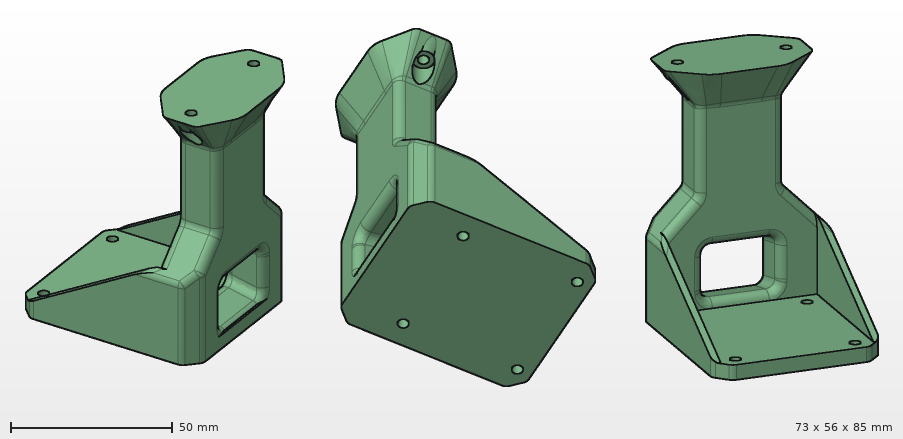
import cadquery as cq
import math

TOTAL_LENGTH = 73.0
TOTAL_WIDTH = 56.0
TOTAL_HEIGHT = 85.0

EDGE_RADIUS = 3.0
HOLE_DIAMETER = 3.6
SEAM_REACH = 0.1

PLATE_THICKNESS = 5.0
WALL_THICKNESS = 2.5
CORNER_CHAMFER = 5.0
WALL_FOOT_X = 3.5
WALL_HEAD_Z = 31.45
BASE_HOLE_INSET = 5.0
BASE_HOLE_SPACING = 40.0

COLUMN_DEPTH = 15.0
COLUMN_WIDTH = 29.0
SHOULDER_BOTTOM_Z = 28.7

WINDOW_WIDTH = 25.0
WINDOW_BOTTOM_Z = 8.5
WINDOW_TOP_Z = 26.2
WINDOW_CORNER_RADIUS = 3.0
WINDOW_SLOPE = 11.5

HEAD_DEPTH = 30.0
HEAD_WIDTH = 50.0
HEAD_HEIGHT = 13.0
HEAD_END_HALF = 6.0
HEAD_SIDE_HALF = 12.7
HEAD_SIDE_RADIUS = 10.0
COLUMN_SPLIT_ANGLE = 20.5
COLUMN_SPLIT_Y = 6.8
HEAD_HOLE_SPACING = 36.4
SCREW_POCKET_DIAMETER = 7.0
SCREW_SEAT_DEPTH = 5.0
COLLAR_TAPER = 33.0

HEAD_X = TOTAL_LENGTH - HEAD_DEPTH / 2
COLUMN_FRONT_X = HEAD_X - COLUMN_DEPTH / 2
COLUMN_BACK_X = HEAD_X + COLUMN_DEPTH / 2
HALF_WIDTH = TOTAL_WIDTH / 2
HALF_GAP = HALF_WIDTH - WALL_THICKNESS
HALF_COLUMN = COLUMN_WIDTH / 2
SHOULDER_TOP_Z = SHOULDER_BOTTOM_Z + HALF_WIDTH - HALF_COLUMN
HEAD_BOTTOM_Z = TOTAL_HEIGHT - HEAD_HEIGHT
HEAD_HOLE_CENTRES = [(0, -HEAD_HOLE_SPACING / 2), (0, HEAD_HOLE_SPACING / 2)]


def sharp_body():
    """Chamfered footprint and necked outline together, with sharp edges."""
    footprint = (
        cq.Workplane("XY")
        .box(COLUMN_BACK_X, TOTAL_WIDTH, HEAD_BOTTOM_Z, centered=(False, True, False))
        .edges("|Z").chamfer(CORNER_CHAMFER)
    )
    right_side = [
        (HALF_WIDTH, 0),
        (HALF_WIDTH, SHOULDER_BOTTOM_Z),
        (HALF_COLUMN, SHOULDER_TOP_Z),
        (HALF_COLUMN, HEAD_BOTTOM_Z),
    ]
    left_side = [(-y, z) for y, z in reversed(right_side)]
    outline = cq.Workplane("YZ").polyline(right_side + left_side).close().extrude(COLUMN_BACK_X)
    return footprint.intersect(outline)


def edges_at_height(z):
    """Selects the edges whose middle lies at height z."""
    reach = 2 * TOTAL_HEIGHT
    return cq.selectors.BoxSelector((-reach, -reach, z - SEAM_REACH), (reach, reach, z + SEAM_REACH))


def base_plate(outer):
    slab = cq.Workplane("XY").box(
        COLUMN_BACK_X, TOTAL_WIDTH, PLATE_THICKNESS, centered=(False, True, False)
    )
    return outer.intersect(slab)


def gusset_walls(sharp, outer):
    """Both side walls, sloping from the plate up to the column shoulders."""
    slope = (WALL_HEAD_Z - PLATE_THICKNESS) / (COLUMN_FRONT_X - WALL_FOOT_X)
    wedge = (
        cq.Workplane("XZ")
        .moveTo(WALL_FOOT_X, 0)
        .lineTo(WALL_FOOT_X, PLATE_THICKNESS)
        .lineTo(COLUMN_BACK_X, PLATE_THICKNESS + slope * (COLUMN_BACK_X - WALL_FOOT_X))
        .lineTo(COLUMN_BACK_X, 0)
        .close()
        .extrude(HALF_WIDTH, both=True)
    )
    gap = cq.Workplane("XY").box(
        COLUMN_BACK_X, 2 * HALF_GAP, TOTAL_HEIGHT, centered=(False, True, False)
    )
    ridges = [cq.selectors.ParallelDirSelector(cq.Vector(1, side * slope, slope)) for side in (-1, 1)]
    rounded_edges = ridges[0] + ridges[1] + edges_at_height(SHOULDER_BOTTOM_Z)
    walls = sharp.intersect(wedge).edges(rounded_edges).fillet(EDGE_RADIUS)
    return walls.intersect(outer).cut(gap)


def column(outer):
    """The part of the outer body between the walls, with rounded front edges."""
    block = cq.Workplane("XY", origin=(COLUMN_FRONT_X, 0, 0)).box(
        COLUMN_DEPTH, 2 * HALF_GAP, HEAD_BOTTOM_Z, centered=(False, True, False)
    )
    body = outer.intersect(block)
    inner_shoulder_z = SHOULDER_BOTTOM_Z + WALL_THICKNESS
    front_edges = cq.selectors.BoxSelector(
        (COLUMN_FRONT_X - SEAM_REACH, -HALF_GAP, inner_shoulder_z + SEAM_REACH),
        (COLUMN_FRONT_X + SEAM_REACH, HALF_GAP, HEAD_BOTTOM_Z - SEAM_REACH),
    )
    return body.edges(front_edges).fillet(EDGE_RADIUS)


def corner_arc(before, corner, after, radius):
    """Start, middle and end points of the arc that rounds a corner between two neighbours."""
    corner = cq.Vector(*corner)
    toward_before = (cq.Vector(*before) - corner).normalized()
    toward_after = (cq.Vector(*after) - corner).normalized()
    half_angle = toward_before.getAngle(toward_after) / 2
    setback = radius / math.tan(half_angle)
    inset = radius / math.sin(half_angle) - radius
    inward = (toward_before + toward_after).normalized()
    return corner + toward_before * setback, corner + inward * inset, corner + toward_after * setback


def on_column_corner(angle):
    """Point on the column's rounded corner, by the angle in degrees turned from its flat end."""
    turn = math.radians(angle)
    x = COLUMN_DEPTH / 2 - EDGE_RADIUS * (1 - math.sin(turn))
    y = HALF_COLUMN - EDGE_RADIUS * (1 - math.cos(turn))
    return x, y


def head():
    """The flared head, lofted a quarter at a time from the column section to the mounting face."""
    end_middle = (0, HEAD_WIDTH / 2)
    end_corner = (HEAD_END_HALF, HEAD_WIDTH / 2)
    side_corner = (HEAD_DEPTH / 2, HEAD_SIDE_HALF)
    side_middle = (HEAD_DEPTH / 2, 0)
    end_arc = corner_arc(end_middle, end_corner, side_corner, EDGE_RADIUS)
    side_arc = corner_arc(end_corner, side_corner, side_middle, HEAD_SIDE_RADIUS)
    split = COLUMN_SPLIT_ANGLE
    quarter = (
        cq.Workplane("XY", origin=(0, 0, HEAD_BOTTOM_Z))
        .lineTo(0, HALF_COLUMN)
        .lineTo(*on_column_corner(0))
        .threePointArc(on_column_corner(split / 2), on_column_corner(split))
        .threePointArc(on_column_corner((split + 90) / 2), on_column_corner(90))
        .lineTo(COLUMN_DEPTH / 2, COLUMN_SPLIT_Y)
        .lineTo(COLUMN_DEPTH / 2, 0)
        .close()
        .workplane(offset=HEAD_HEIGHT)
        .lineTo(*end_middle)
        .lineTo(end_arc[0].x, end_arc[0].y)
        .threePointArc(end_arc[1], end_arc[2])
        .lineTo(side_arc[0].x, side_arc[0].y)
        .threePointArc(side_arc[1], side_arc[2])
        .lineTo(*side_middle)
        .close()
        .loft(ruled=True)
    )
    half = quarter.union(quarter.mirror("YZ"))
    whole = half.union(half.mirror("XZ")).clean()
    return whole.translate((HEAD_X, 0, 0))


def window():
    """A rounded window cutter that slopes down toward the back."""
    height = WINDOW_TOP_Z - WINDOW_BOTTOM_Z
    drop = COLUMN_DEPTH * math.tan(math.radians(WINDOW_SLOPE))
    front = cq.Sketch().rect(WINDOW_WIDTH, height).vertices().fillet(WINDOW_CORNER_RADIUS)
    middle_z = (WINDOW_TOP_Z + WINDOW_BOTTOM_Z) / 2
    path = cq.Workplane("XZ").moveTo(COLUMN_FRONT_X, middle_z).lineTo(COLUMN_BACK_X, middle_z - drop)
    return cq.Workplane("YZ", origin=(COLUMN_FRONT_X, 0, middle_z)).placeSketch(front).sweep(path)


def screw_collars():
    """Two cones around the head holes that back the screw seats where they break the flare."""
    return (
        cq.Workplane("XY", origin=(HEAD_X, 0, TOTAL_HEIGHT - SCREW_SEAT_DEPTH))
        .pushPoints(HEAD_HOLE_CENTRES)
        .circle(SCREW_POCKET_DIAMETER / 2)
        .extrude(SCREW_SEAT_DEPTH, taper=-COLLAR_TAPER)
    )


def base_holes():
    """Four through holes in a square near the plate corners."""
    middle_x = BASE_HOLE_INSET + BASE_HOLE_SPACING / 2
    return (
        cq.Workplane("XY", origin=(middle_x, 0, 0))
        .rect(BASE_HOLE_SPACING, BASE_HOLE_SPACING, forConstruction=True)
        .vertices()
        .circle(HOLE_DIAMETER / 2)
        .extrude(PLATE_THICKNESS)
    )


def head_holes():
    """Two screw holes from the mounting face, each with a wider pocket open from below."""
    plane = cq.Workplane("XY", origin=(HEAD_X, 0, HEAD_BOTTOM_Z)).pushPoints(HEAD_HOLE_CENTRES)
    holes = plane.circle(HOLE_DIAMETER / 2).extrude(HEAD_HEIGHT)
    pockets = plane.circle(SCREW_POCKET_DIAMETER / 2).extrude(HEAD_HEIGHT - SCREW_SEAT_DEPTH)
    return holes.union(pockets)


def round_window_rim(body, face_x):
    """Rounds the window's rim on the column face at face_x."""
    half_width = WINDOW_WIDTH / 2 + SEAM_REACH
    rim = cq.selectors.BoxSelector(
        (face_x - SEAM_REACH, -half_width, SEAM_REACH),
        (face_x + SEAM_REACH, half_width, WINDOW_TOP_Z + SEAM_REACH),
    )
    return body.edges(rim).fillet(EDGE_RADIUS)


sharp = sharp_body()
outer = sharp.edges("not(<Z or >Z)").fillet(EDGE_RADIUS)

post = column(outer).cut(window())
post = round_window_rim(post, COLUMN_FRONT_X)
post = round_window_rim(post, COLUMN_BACK_X)

post = post.union(head())
post = post.edges(edges_at_height(HEAD_BOTTOM_Z)).fillet(EDGE_RADIUS)
post = post.union(screw_collars())

result = post.union(base_plate(outer)).union(gusset_walls(sharp, outer))
result = result.cut(base_holes()).cut(head_holes())